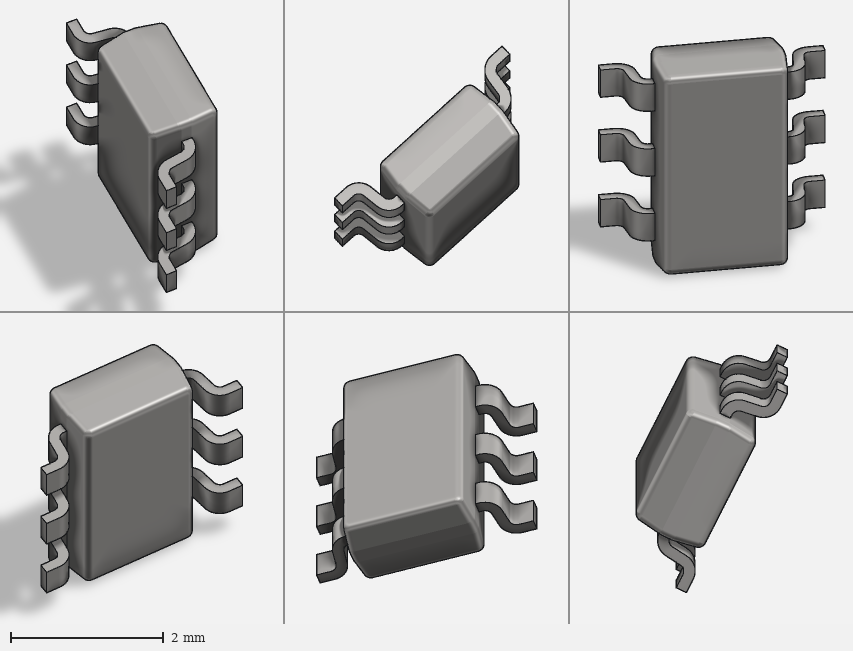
import cadquery as cq
import math


BODY_WIDTH = 1.752
BODY_HEIGHT = 1.0
BODY_LENGTH = 3.0
SIDE_BAND = 0.15
END_BAND = 0.195
DRAFT = math.radians(7.5)
BODY_FILLET = 0.1

LEAD_SPAN = 3.0
LEAD_THICKNESS = 0.15
LEAD_WIDTH = 0.402
LEAD_PITCH = 0.95
LEADS_PER_SIDE = 3
ROW_SHIFT = 0.027
STANDOFF = 0.102
FOOT_LENGTH = 0.2
INNER_BEND = 0.1
OUTER_BEND = INNER_BEND + LEAD_THICKNESS
LEG_LEAN = math.radians(7.5)
LEAD_EMBED = 0.15


def drafted_prism(plane, width, band, depth):
    """Prism with an octagonal section: straight middle band, drafted above and below."""
    half = width / 2
    top = BODY_HEIGHT / 2
    inset = (top - band / 2) * math.tan(DRAFT)
    outline = [
        (half, -band / 2),
        (half, band / 2),
        (half - inset, top),
        (inset - half, top),
        (-half, band / 2),
        (-half, -band / 2),
        (inset - half, -top),
        (half - inset, -top),
    ]
    return cq.Workplane(plane).polyline(outline).close().extrude(depth / 2, both=True)


def make_body():
    """Block drafted on its sides and ends, with all outer corners rounded."""
    across = drafted_prism("XY", BODY_WIDTH, SIDE_BAND, BODY_LENGTH)
    along = drafted_prism("ZY", BODY_LENGTH, END_BAND, BODY_WIDTH)
    block = across.intersect(along)
    margin = 2 * BODY_FILLET
    corner_x = BODY_WIDTH / 2 - margin
    corner_z = BODY_LENGTH / 2 - margin
    corners = [
        edge for edge in block.edges().vals()
        if abs(edge.Center().x) > corner_x and abs(edge.Center().z) > corner_z
    ]
    block = block.newObject(corners).fillet(BODY_FILLET)
    return block.faces("<Y or >Y").edges().fillet(BODY_FILLET)


def make_lead():
    """Lead on the -X side, centred on Z = 0."""
    toe = -LEAD_SPAN / 2
    sole = -BODY_HEIGHT / 2 - STANDOFF
    shoulder = LEAD_THICKNESS / 2
    root = -BODY_WIDTH / 2 + LEAD_EMBED

    foot_x = toe + FOOT_LENGTH
    foot_y = sole + OUTER_BEND
    knee_y = shoulder - OUTER_BEND
    bends = OUTER_BEND + INNER_BEND
    leg = (knee_y - foot_y + bends * math.sin(LEG_LEAN)) / math.cos(LEG_LEAN)
    knee_x = foot_x + bends * math.cos(LEG_LEAN) + leg * math.sin(LEG_LEAN)

    def on_foot(radius, angle):
        return (foot_x + radius * math.cos(angle), foot_y - radius * math.sin(angle))

    def on_knee(radius, angle):
        return (knee_x - radius * math.cos(angle), knee_y + radius * math.sin(angle))

    bend_middle = (LEG_LEAN + math.pi / 2) / 2
    profile = (
        cq.Workplane("XY")
        .moveTo(toe, sole)
        .lineTo(foot_x, sole)
        .threePointArc(on_foot(OUTER_BEND, bend_middle), on_foot(OUTER_BEND, LEG_LEAN))
        .lineTo(*on_knee(INNER_BEND, LEG_LEAN))
        .threePointArc(on_knee(INNER_BEND, bend_middle), (knee_x, shoulder - LEAD_THICKNESS))
        .lineTo(root, shoulder - LEAD_THICKNESS)
        .lineTo(root, shoulder)
        .lineTo(knee_x, shoulder)
        .threePointArc(on_knee(OUTER_BEND, bend_middle), on_knee(OUTER_BEND, LEG_LEAN))
        .lineTo(*on_foot(INNER_BEND, LEG_LEAN))
        .threePointArc(on_foot(INNER_BEND, bend_middle), (foot_x, sole + LEAD_THICKNESS))
        .lineTo(toe, sole + LEAD_THICKNESS)
        .close()
    )
    return profile.extrude(LEAD_WIDTH / 2, both=True)


result = make_body()
left_lead = make_lead()
right_lead = left_lead.mirror("YZ")
for index in range(LEADS_PER_SIDE):
    lead_z = (index - (LEADS_PER_SIDE - 1) / 2) * LEAD_PITCH + ROW_SHIFT
    for lead in (left_lead, right_lead):
        result = result.union(lead.translate((0, 0, lead_z)))